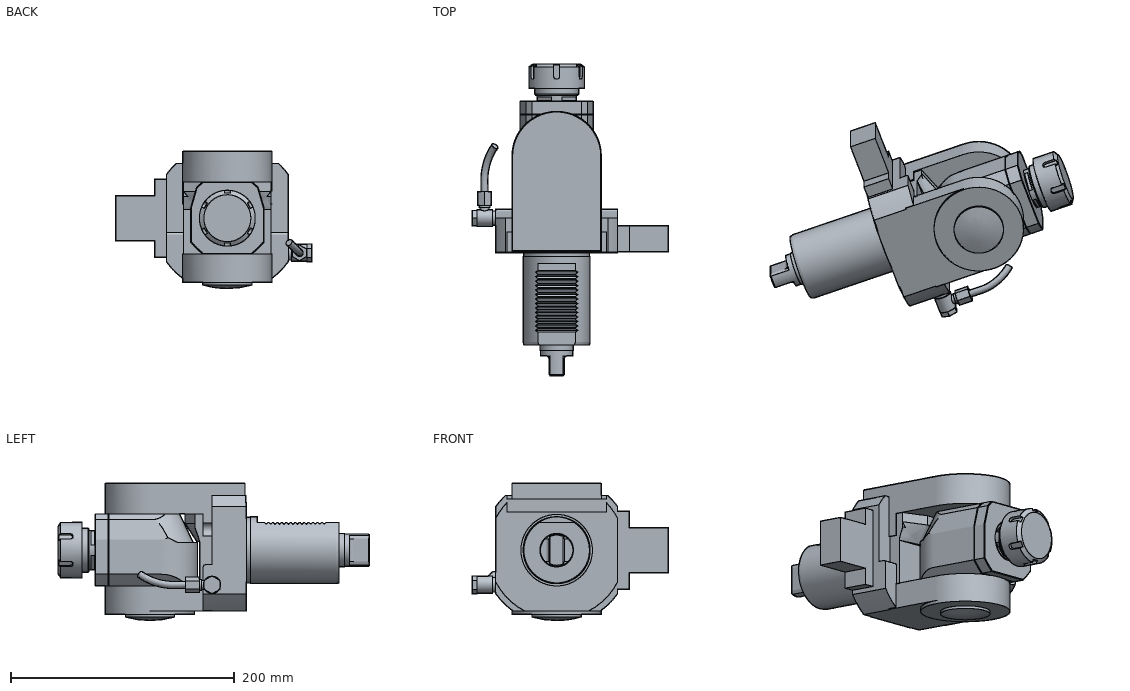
import cadquery as cq
import math


PLATE_HALF = 54.5
PLATE_TOP = 49.0
PLATE_TURN_R = 67.0
PLATE_BACK = 31.2
RAISED_FACE_R = 61.5
RAISED_FACE_H = 0.8
PAD_HALF_W = 44.5
PAD_BOTTOM = 34.3
POCKET_BACK = 18.4
STEP_TOP = -13.0
STEP_BACK = 39.0
STEP_ROUND_R = 2.4

PIVOT_Y = 86.5
YOKE_R = 40.0
ARM_INNER = 32.0
HEAD_TOP = 32.5
COVER_BOTTOM = 45.7
COVER_TOP = 60.0
COVER_FRONT = 1.5
COVER_EDGE = 0.6
WEB_FRONT = 46.1
SPINE_FRONT = 42.1
SPINE_STEP_TOP = 19.5
SPINE_STEP_BOTTOM = 9.0
SPINE_HALF_W = 39.0
RIB_BOTTOM = 12.5
GUSSET_FRONT = 55.2
GUSSET_HALF_W = 15.0
GUSSET_BOTTOM = 7.7
GUSSET_TOE = 44.7
GUSSET_SLOPE_TOP = 24.0
NOTCH_TOP = 24.5

DISC_BOTTOM = -57.4
DOME_R = 22.1
DOME_RIM_Z = -59.8
DOME_TIP_Z = -63.0

HEAD_HALF_W = 32.8
HEAD_END = 135.7
HEAD_EDGE = 0.6
HEAD_FLAT_HALF = 22.0
HEAD_SHOULDER_X = 27.6
HEAD_SHOULDER_DROP = 5.0
HEAD_SIDE_TOP = 9.3
HEAD_SIDE_BOTTOM = -21.5
HEAD_BACK = 43.8
HEAD_CONE_Y = 85.3
HEAD_CONE_Z = 7.0
HEAD_CONE_R = 37.5
HEAD_CONE_TOP_R = 25.4
JOINT_Y = 123.3
JOINT_WIDTH = 0.6
JOINT_DEPTH = 0.4

NOSE_R = 17.8
NOSE_FLATS_W = 31.0
NOSE_FLATS_TURN = 45
NOSE_FLATS_START = 136.3
NOSE_FLATS_END = 139.2
COLLAR_R = 19.8
COLLAR_START = 140.8
COLLAR_EDGE = 1.0
NUT_R = 25.0
NUT_START = 147.1
NUT_END = 168.91
NUT_BEVEL_L = 2.6
NUT_BEVEL_H = 4.0
NUT_SLOTS = 6
NUT_SLOT_W = 5.5
NUT_SLOT_END = 155.3
NUT_SLOT_FLOOR_R = 22.3

SHANK_R = 30.0
SHANK_NECK_R = 29.5
SHANK_NECK_L = 3.5
SHANK_L = 82.6
SHANK_BEVEL_L = 2.6
SHANK_BEVEL_H = 0.7
FACE_GROOVE_R = 32.0
FACE_GROOVE_DEPTH = 0.6
FLAT_Z = 24.8
FLAT_START = -9.5
TOOTH_PITCH = 4.0
TOOTH_COUNT = 14
TOOTH_DEPTH = 1.5
FIRST_TOOTH_Y = -17.4

DRIVE_COLLAR_R = 15.0
DRIVE_COLLAR_END = -87.3
DRIVE_R = 14.5
TANG_ROOT = -92.1
TANG_END = -110.0
TANG_HALF_W = 6.8
TANG_FILLET_R = 3.3
TANG_BEVEL = 1.0
TANG_FLAT_HALF_H = 10.2
TANG_CORNER_X = 5.8

STOP_END = 100.0
STOP_FOOT_END = 65.0
STOP_DEPTH = 24.4
STOP_FOOT_HALF = 35.0
STOP_HALF = 20.2

FITTING_Y = 31.0
FITTING_Z = -31.0
FITTING_R = 7.7
FITTING_NECK_R = 6.5
FITTING_END = -71.3
FITTING_NECK_START = -57.3
FITTING_HEAD_END = -75.7
FITTING_HEAD_FLATS = 14.0
PIPE_X = -64.5
PIPE_D = 6.37
PIPE_BEND_START = 69.0
PIPE_TIP_Y = 95.3
PIPE_TIP_SIDEWAYS = 9.3
PIPE_TIP_ANGLE = 46.0
PIPE_NUT_FLATS = 12.2
PIPE_NUT_START = 42.4
PIPE_NUT_END = 54.6
PIPE_COLLAR_D = 9.8
PIPE_COLLAR_START = 40.3
PIPE_STEM_D = 8.2
HEX_TURN = 30
HALF_DIAGONAL = math.sqrt(0.5)


def box(x0, x1, y0, y1, z0, z1):
    return cq.Workplane("XY").box(x1 - x0, y1 - y0, z1 - z0, centered=False).translate((x0, y0, z0))


def rod_y(radius, y0, y1):
    return cq.Workplane("XZ").workplane(offset=-y0).circle(radius).extrude(y0 - y1)


def rod_z(radius, z0, z1):
    return cq.Workplane("XY").workplane(offset=z0).center(0, PIVOT_Y).circle(radius).extrude(z1 - z0)


def turned_y(outline):
    """Solid of revolution about the Y axis from (radius, y) points."""
    return cq.Workplane("XY").polyline(outline).close().revolve(360, (0, 0, 0), (0, 1, 0))


def prism_x(outline, half_width):
    """Symmetric prism along X from (y, z) points."""
    return cq.Workplane("YZ").polyline(outline).close().extrude(half_width, both=True)


def flange_plate():
    plate = box(-PLATE_HALF, PLATE_HALF, RAISED_FACE_H, PLATE_BACK, -PLATE_HALF, PLATE_TOP)
    step = box(-PLATE_HALF, PLATE_HALF, RAISED_FACE_H, STEP_BACK, -PLATE_HALF, STEP_TOP)
    step = step.edges(cq.selectors.NearestToPointSelector((0, STEP_BACK, STEP_TOP))).fillet(STEP_ROUND_R)
    plate = plate.union(step)
    plate = plate.intersect(rod_y(PLATE_TURN_R, 0, STEP_BACK))
    raised = rod_y(RAISED_FACE_R, 0, RAISED_FACE_H).intersect(
        box(-PLATE_HALF, PLATE_HALF, 0, RAISED_FACE_H, -PLATE_HALF, PLATE_TOP)
    )
    plate = plate.union(raised)
    recess = box(-PAD_HALF_W, PAD_HALF_W, 0, RAISED_FACE_H, PAD_BOTTOM, PLATE_TOP)
    pocket = box(-PAD_HALF_W, PAD_HALF_W, 0, POCKET_BACK, COVER_BOTTOM, PLATE_TOP)
    groove = rod_y(FACE_GROOVE_R, 0, FACE_GROOVE_DEPTH)
    return plate.cut(recess).cut(pocket).cut(groove)


def yoke_plan(y_start, z0, z1):
    """Plate with straight sides from y_start and a round end about the pivot axis."""
    straight = box(-YOKE_R, YOKE_R, y_start, PIVOT_Y, z0, z1)
    return straight.union(rod_z(YOKE_R, z0, z1))


def yoke():
    cover = yoke_plan(COVER_FRONT, COVER_BOTTOM, COVER_TOP).faces(">Z").edges().chamfer(COVER_EDGE)
    upper_arm = yoke_plan(PLATE_BACK, HEAD_TOP, COVER_BOTTOM)
    lower_arm = yoke_plan(PLATE_BACK, -PLATE_HALF, -ARM_INNER)
    spine = prism_x(
        [
            (PLATE_BACK, HEAD_TOP),
            (WEB_FRONT, HEAD_TOP),
            (WEB_FRONT, SPINE_STEP_TOP),
            (SPINE_FRONT, SPINE_STEP_BOTTOM),
            (SPINE_FRONT, -ARM_INNER),
            (PLATE_BACK, -ARM_INNER),
        ],
        SPINE_HALF_W,
    )
    notch_r = (NOTCH_TOP - RIB_BOTTOM) / 2
    notch = rod_y(notch_r, PLATE_BACK, STEP_BACK).translate((-YOKE_R, 0, RIB_BOTTOM + notch_r))
    rib = box(-YOKE_R, YOKE_R, PLATE_BACK, STEP_BACK, RIB_BOTTOM, HEAD_TOP)
    disc = rod_z(YOKE_R, DISC_BOTTOM, -PLATE_HALF)
    body = upper_arm.union(lower_arm).union(spine).union(gusset()).union(rib).cut(notch)
    return body.union(cover).union(disc).union(dome())


def gusset():
    """Brace under the upper arm: upright at the top, then sloping back into the spine."""

    def plan(front, edge_front):
        half_plan = [(SPINE_HALF_W, PLATE_BACK), (SPINE_HALF_W, edge_front), (GUSSET_HALF_W, front)]
        return half_plan + [(-x, y) for x, y in reversed(half_plan)]

    top_plan = plan(GUSSET_FRONT, WEB_FRONT)
    upright = (
        cq.Workplane("XY")
        .workplane(offset=GUSSET_SLOPE_TOP)
        .polyline(top_plan)
        .close()
        .extrude(HEAD_TOP - GUSSET_SLOPE_TOP)
    )
    slope = (
        cq.Workplane("XY")
        .workplane(offset=GUSSET_BOTTOM)
        .polyline(plan(GUSSET_TOE, SPINE_FRONT))
        .close()
        .workplane(offset=GUSSET_SLOPE_TOP - GUSSET_BOTTOM)
        .polyline(top_plan)
        .close()
        .loft(ruled=True)
    )
    return upright.union(slope)


def dome():
    sagitta = DOME_RIM_Z - DOME_TIP_Z
    sphere_r = (DOME_R**2 + sagitta**2) / (2 * sagitta)
    ball = cq.Workplane("XY").sphere(sphere_r).translate((0, PIVOT_Y, DOME_TIP_Z + sphere_r))
    return rod_z(DOME_R, DOME_TIP_Z, DISC_BOTTOM).intersect(ball)


def head():
    right_side = [
        (HEAD_FLAT_HALF, HEAD_TOP),
        (HEAD_SHOULDER_X, HEAD_TOP - HEAD_SHOULDER_DROP),
        (HEAD_HALF_W, HEAD_SIDE_TOP),
        (HEAD_HALF_W, HEAD_SIDE_BOTTOM),
        (HEAD_SHOULDER_X, HEAD_SHOULDER_DROP - ARM_INNER),
        (HEAD_FLAT_HALF, -ARM_INNER),
    ]
    profile = right_side + [(-x, z) for x, z in reversed(right_side)]

    def prism(y0, y1):
        return cq.Workplane("XZ").workplane(offset=-y0).polyline(profile).close().extrude(y0 - y1)

    block = prism(HEAD_BACK, HEAD_END).faces(">Y").edges().chamfer(HEAD_EDGE)
    joint = prism(JOINT_Y, JOINT_Y + JOINT_WIDTH)
    joint_core = (
        cq.Workplane("XZ")
        .workplane(offset=-JOINT_Y)
        .polyline(profile)
        .close()
        .offset2D(-JOINT_DEPTH)
        .extrude(-JOINT_WIDTH)
    )
    block = block.cut(joint.cut(joint_core))
    return block.intersect(head_plan()).cut(cone_clearance())


def head_plan():
    """Straight sides running into a full round at the back of the head."""
    round_y = HEAD_BACK + HEAD_HALF_W
    height = HEAD_TOP + ARM_INNER
    base = cq.Workplane("XY").workplane(offset=-ARM_INNER).center(0, round_y)
    rounded = base.circle(HEAD_HALF_W).extrude(height)
    return rounded.union(box(-HEAD_HALF_W, HEAD_HALF_W, round_y, HEAD_END, -ARM_INNER, HEAD_TOP))


def cone_clearance():
    """Material taken off behind the head's upper part, leaving a cone that clears the gusset."""
    upper_back = box(-HEAD_HALF_W, HEAD_HALF_W, HEAD_BACK, HEAD_CONE_Y, HEAD_CONE_Z, HEAD_TOP)
    cone = (
        cq.Workplane("XZ")
        .polyline(
            [
                (0, HEAD_CONE_Z),
                (HEAD_CONE_R, HEAD_CONE_Z),
                (HEAD_CONE_TOP_R, HEAD_TOP),
                (0, HEAD_TOP),
            ]
        )
        .close()
        .revolve(360, (0, 0, 0), (0, 1, 0))
        .translate((0, HEAD_CONE_Y, 0))
    )
    return upper_back.cut(cone)


def spindle_nose():
    """Round nose with a square cut across it for a spanner."""
    nose = rod_y(NOSE_R, HEAD_END, COLLAR_START)
    flats_length = NOSE_FLATS_END - NOSE_FLATS_START
    square = (
        cq.Workplane("XZ")
        .workplane(offset=-NOSE_FLATS_START)
        .rect(NOSE_FLATS_W, NOSE_FLATS_W)
        .extrude(-flats_length)
        .rotate((0, 0, 0), (0, 1, 0), NOSE_FLATS_TURN)
    )
    return nose.cut(rod_y(NOSE_R, NOSE_FLATS_START, NOSE_FLATS_END).cut(square))


def collet_nut():
    nut = turned_y(
        [
            (0, COLLAR_START),
            (COLLAR_R - COLLAR_EDGE, COLLAR_START),
            (COLLAR_R, COLLAR_START + COLLAR_EDGE),
            (COLLAR_R, NUT_START),
            (NUT_R, NUT_START),
            (NUT_R, NUT_END - NUT_BEVEL_L),
            (NUT_R - NUT_BEVEL_H, NUT_END),
            (0, NUT_END),
        ]
    )
    half_w = NUT_SLOT_W / 2
    round_y = NUT_SLOT_END + half_w
    slot = box(-half_w, half_w, round_y, NUT_END, NUT_SLOT_FLOOR_R, NUT_R)
    slot_end = (
        cq.Workplane("XY")
        .workplane(offset=NUT_SLOT_FLOOR_R)
        .center(0, round_y)
        .circle(half_w)
        .extrude(NUT_R - NUT_SLOT_FLOOR_R)
    )
    slot = slot.union(slot_end)
    for i in range(NUT_SLOTS):
        nut = nut.cut(slot.rotate((0, 0, 0), (0, 1, 0), i * 360 / NUT_SLOTS))
    return nut


def shank():
    body = turned_y(
        [
            (0, FACE_GROOVE_DEPTH),
            (SHANK_NECK_R, FACE_GROOVE_DEPTH),
            (SHANK_NECK_R, -SHANK_NECK_L),
            (SHANK_R, -SHANK_NECK_L),
            (SHANK_R, -SHANK_L + SHANK_BEVEL_L),
            (SHANK_R - SHANK_BEVEL_H, -SHANK_L),
            (0, -SHANK_L),
        ]
    )
    body = body.cut(box(-SHANK_R, SHANK_R, -SHANK_L, FLAT_START, FLAT_Z, SHANK_R))
    for i in range(TOOTH_COUNT):
        y = FIRST_TOOTH_Y - i * TOOTH_PITCH
        valley = [(y - TOOTH_DEPTH, FLAT_Z), (y, FLAT_Z - TOOTH_DEPTH), (y + TOOTH_DEPTH, FLAT_Z)]
        body = body.cut(prism_x(valley, SHANK_R))
    return body


def drive_tang():
    drive = rod_y(DRIVE_COLLAR_R, DRIVE_COLLAR_END, -SHANK_L)
    end = rod_y(DRIVE_R, TANG_END, DRIVE_COLLAR_END)
    for side in (1, -1):
        relief = (
            cq.Workplane("XY")
            .moveTo(side * TANG_HALF_W, TANG_END)
            .lineTo(side * TANG_HALF_W, TANG_ROOT - TANG_FILLET_R)
            .radiusArc((side * (TANG_HALF_W + TANG_FILLET_R), TANG_ROOT), side * TANG_FILLET_R)
            .lineTo(side * DRIVE_COLLAR_R, TANG_ROOT)
            .lineTo(side * DRIVE_COLLAR_R, TANG_END)
            .close()
            .extrude(DRIVE_COLLAR_R, both=True)
        )
        end = end.cut(relief)
    end = end.faces("<Y").chamfer(TANG_BEVEL)
    corner_z = math.sqrt(DRIVE_R**2 - TANG_CORNER_X**2)
    corner = (
        cq.Workplane("XZ")
        .workplane(offset=-TANG_ROOT)
        .polyline(
            [
                (TANG_HALF_W, TANG_FLAT_HALF_H),
                (DRIVE_R, TANG_FLAT_HALF_H),
                (DRIVE_R, corner_z),
                (TANG_CORNER_X, corner_z),
            ]
        )
        .close()
        .extrude(TANG_ROOT - TANG_END)
    )
    left_corner = corner.mirror("YZ")
    for top_corner in (corner, left_corner):
        end = end.cut(top_corner).cut(top_corner.mirror("XY"))
    return drive.union(end)


def side_stop():
    foot = box(PLATE_HALF, STOP_FOOT_END, RAISED_FACE_H, STOP_DEPTH, -STOP_FOOT_HALF, STOP_FOOT_HALF)
    bar = box(STOP_FOOT_END, STOP_END, RAISED_FACE_H, STOP_DEPTH, -STOP_HALF, STOP_HALF)
    return foot.union(bar)


def hexagon(plane, flats, length):
    """Hexagonal bar standing on the plane, given its width across flats."""
    return cq.Workplane(plane).polygon(6, flats / math.cos(math.pi / 6)).extrude(length)


def coolant_fitting():
    def rod_x(radius, x0, x1):
        rod = cq.Workplane("YZ").workplane(offset=x0).center(FITTING_Y, FITTING_Z)
        return rod.circle(radius).extrude(x1 - x0)

    neck = rod_x(FITTING_NECK_R, FITTING_NECK_START, -PLATE_HALF)
    body = rod_x(FITTING_R, FITTING_END, FITTING_NECK_START)
    bolt_head = (
        hexagon("YZ", FITTING_HEAD_FLATS, FITTING_END - FITTING_HEAD_END)
        .rotate((0, 0, 0), (1, 0, 0), HEX_TURN)
        .translate((FITTING_HEAD_END, FITTING_Y, FITTING_Z))
    )
    pipe_nut = (
        hexagon("XZ", PIPE_NUT_FLATS, PIPE_NUT_END - PIPE_NUT_START)
        .rotate((0, 0, 0), (0, 1, 0), HEX_TURN)
        .translate((PIPE_X, PIPE_NUT_END, FITTING_Z))
    )
    collar = rod_y(PIPE_COLLAR_D / 2, PIPE_COLLAR_START, PIPE_NUT_START).translate((PIPE_X, 0, FITTING_Z))
    stem = rod_y(PIPE_STEM_D / 2, FITTING_Y, PIPE_COLLAR_START).translate((PIPE_X, 0, FITTING_Z))
    return neck.union(body).union(bolt_head).union(pipe_nut).union(collar).union(stem).union(coolant_pipe())


def coolant_pipe():
    """Pipe that leaves its nut along Y and bends equally toward +X and +Z."""
    start = cq.Vector(PIPE_X, PIPE_NUT_END, FITTING_Z)
    bend_start = cq.Vector(PIPE_X, PIPE_BEND_START, FITTING_Z)
    tip = cq.Vector(PIPE_X + PIPE_TIP_SIDEWAYS, PIPE_TIP_Y, FITTING_Z + PIPE_TIP_SIDEWAYS)
    tip_angle = math.radians(PIPE_TIP_ANGLE)
    sideways = math.sin(tip_angle) * HALF_DIAGONAL
    tip_direction = cq.Vector(sideways, math.cos(tip_angle), sideways)
    centreline = cq.Edge.makeSpline([start, bend_start, tip], [cq.Vector(0, 1, 0), tip_direction])
    path = cq.Workplane(cq.Wire.assembleEdges([centreline]))
    return cq.Workplane("XZ", origin=start.toTuple()).circle(PIPE_D / 2).sweep(path)


result = flange_plate()
for part in (
    yoke(),
    head(),
    spindle_nose(),
    collet_nut(),
    shank(),
    drive_tang(),
    side_stop(),
    coolant_fitting(),
):
    result = result.union(part)